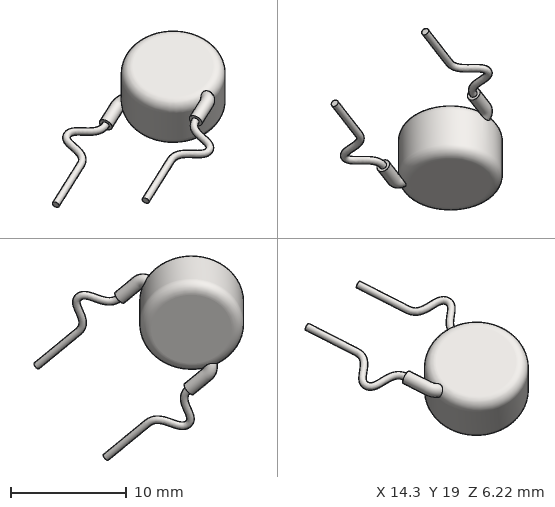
import cadquery as cq
import math

disc_diameter = 9.0
disc_height = 5.55
rim_fillet = 1.0

sleeve_diameter = 1.22
sleeve_length = 2.17
elbow_radius = 0.87
elbow_tilt = 35.0
elbow_root = 0.57

overall_width = 14.29
wire_diameter = 0.66
lead_x = 4.31
lead_z = 2.5
kink_length = 5.0
kink_end_handle = 1.67
kink_peak_handle = 1.14
tail_length = 5.0

disc_radius = disc_diameter / 2
sleeve_end_y = -disc_radius
sleeve_start_y = sleeve_end_y + sleeve_length
kink_peak_x = (overall_width - wire_diameter) / 2
kink_peak_y = sleeve_end_y - kink_length / 2
kink_end_y = sleeve_end_y - kink_length
tail_end_y = kink_end_y - tail_length

lead_turns = [0, 180]


def turned(shape, angle):
    return shape.rotate((0, 0, 0), (0, 1, 0), angle)


def make_disc():
    disc = cq.Workplane("XY", origin=(0, 0, -disc_height / 2)).circle(disc_radius).extrude(disc_height)
    return disc.faces("<Z or >Z").edges().fillet(rim_fillet)


def make_sleeve():
    """Straight sleeve along Y with an elbow that dives into the disc rim."""
    tilt = math.radians(elbow_tilt)
    inward = cq.Vector(-math.cos(tilt), 0, -math.sin(tilt))
    sleeve_mouth = (lead_x, sleeve_end_y, lead_z)
    bend_plane = cq.Plane(origin=sleeve_mouth, xDir=inward, normal=inward.cross(cq.Vector(0, 1, 0)))
    diagonal = elbow_radius * math.sqrt(0.5)
    path = (
        cq.Workplane(bend_plane)
        .lineTo(0, sleeve_length)
        .threePointArc(
            (elbow_radius - diagonal, sleeve_length + diagonal),
            (elbow_radius, sleeve_length + elbow_radius),
        )
        .lineTo(elbow_radius + elbow_root, sleeve_length + elbow_radius)
    )
    section = cq.Workplane("XZ", origin=sleeve_mouth).circle(sleeve_diameter / 2)
    return section.sweep(path)


def make_lead():
    """Wire from inside the sleeve, through the sideways kink, to the tail end."""
    path = (
        cq.Workplane("XY", origin=(0, 0, lead_z))
        .moveTo(lead_x, sleeve_start_y)
        .lineTo(lead_x, sleeve_end_y)
        .bezier(
            [
                (lead_x, sleeve_end_y),
                (lead_x, sleeve_end_y - kink_end_handle),
                (kink_peak_x, kink_peak_y + kink_peak_handle),
                (kink_peak_x, kink_peak_y),
            ]
        )
        .bezier(
            [
                (kink_peak_x, kink_peak_y),
                (kink_peak_x, kink_peak_y - kink_peak_handle),
                (lead_x, kink_end_y + kink_end_handle),
                (lead_x, kink_end_y),
            ]
        )
        .lineTo(lead_x, tail_end_y)
    )
    section = cq.Workplane("XZ", origin=(lead_x, sleeve_start_y, lead_z)).circle(wire_diameter / 2)
    return section.sweep(path)


def make_housing(leads):
    """Disc and sleeves as one coating, bored to fit the leads."""
    housing = make_disc()
    for angle in lead_turns:
        housing = housing.union(turned(make_sleeve(), angle))
    for lead in leads:
        housing = housing.cut(lead)
    return housing


leads = [turned(make_lead(), angle) for angle in lead_turns]
housing = make_housing(leads)

result = cq.Compound.makeCompound([housing.val(), *[lead.val() for lead in leads]])